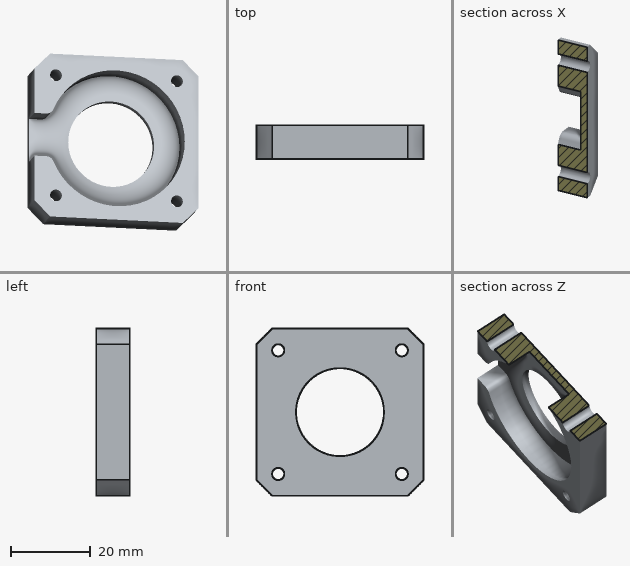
import cadquery as cq

plate_side = 42.0
plate_thickness = 8.5
corner_chamfer = 4.0

bore_diameter = 22.0
bore_lip_thickness = 2.0
recess_diameter = 35.0

slot_width = 11.0
slot_corner_radius = 2.0

hole_diameter = 3.0
hole_spacing = 31.0

front_y = -plate_thickness / 2
recess_start_y = front_y + bore_lip_thickness
recess_depth = plate_thickness - bore_lip_thickness

half_spacing = hole_spacing / 2
hole_centers = [(x, z) for x in (-half_spacing, half_spacing) for z in (-half_spacing, half_spacing)]
plate_center = [(0, 0)]


def make_plate():
    """Square plate with its four corners cut at 45 degrees."""
    plate = cq.Workplane("XY").box(plate_side, plate_thickness, plate_side)
    return plate.edges("|Y").chamfer(corner_chamfer)


def y_cylinder(diameter, start_y, length, centers):
    """Cylinders along +Y from start_y, one at each (x, z) centre."""
    plane = cq.Plane(origin=(0, start_y, 0), xDir=(1, 0, 0), normal=(0, -1, 0))
    return cq.Workplane(plane).pushPoints(centers).circle(diameter / 2).extrude(-length)


def make_recess():
    """Round recess and side slot, joined by rounded corners that run along Y."""
    pocket = y_cylinder(recess_diameter, recess_start_y, recess_depth, plate_center)
    slot_size = (plate_side / 2, recess_depth, slot_width)
    slot = cq.Workplane("XY").box(*slot_size, centered=(False, False, True))
    slot = slot.translate((0, recess_start_y, 0))
    inner_corners = cq.selectors.BoxSelector(
        (0, recess_start_y, -slot_width), (recess_diameter / 2, plate_thickness, slot_width)
    )
    return pocket.union(slot).edges("|Y").edges(inner_corners).fillet(slot_corner_radius)


bore = y_cylinder(bore_diameter, front_y, plate_thickness, plate_center)
recess = make_recess()
screw_holes = y_cylinder(hole_diameter, front_y, plate_thickness, hole_centers)

result = make_plate().cut(bore).cut(recess).cut(screw_holes)